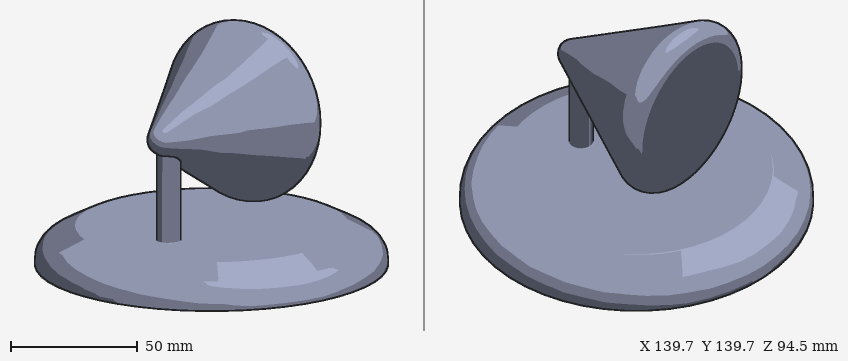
import cadquery as cq
import math

base_radius = 69.85
base_height = 15.875
base_rim_height = 1.5875
base_round_radius = 10.16
shoulder_angle = math.radians(27)
base_top_fillet = 1.2

head_axis_z = 57.94
head_radius = 36.57
head_back_y = 27.3
head_back_round = 6.35
head_tip_round = 5.9
head_half_angle = math.radians(30)

post_radius = 9.525 / 2
post_y = -28.0
post_foot_fillet = 0.25


def make_base():
    """Revolve the base's half profile about Z."""
    round_centre_r = base_radius - base_round_radius

    def round_point(angle):
        return (
            round_centre_r + base_round_radius * math.cos(angle),
            base_rim_height + base_round_radius * math.sin(angle),
        )

    round_end_angle = math.pi / 2 - shoulder_angle
    round_end = round_point(round_end_angle)
    top_radius = round_end[0] - (base_height - round_end[1]) / math.tan(shoulder_angle)
    return (
        cq.Workplane("XZ")
        .lineTo(base_radius, 0)
        .lineTo(base_radius, base_rim_height)
        .threePointArc(round_point(round_end_angle / 2), round_end)
        .lineTo(top_radius, base_height)
        .lineTo(0, base_height)
        .close()
        .revolve(360, (0, 0, 0), (0, 1, 0))
        .faces(">Z")
        .edges()
        .fillet(base_top_fillet)
    )


def make_head():
    """Revolve the head's half profile, drawn as (radius, y), about its own axis."""
    sin_half = math.sin(head_half_angle)
    cos_half = math.cos(head_half_angle)
    back_centre_r = head_radius - head_back_round
    back_centre_y = head_back_y - head_back_round
    cone_back_r = back_centre_r + head_back_round * cos_half
    cone_back_y = back_centre_y - head_back_round * sin_half

    cone_tip_r = head_tip_round * cos_half
    cone_tip_y = cone_back_y - (cone_back_r - cone_tip_r) / math.tan(head_half_angle)
    tip_centre_y = cone_tip_y + head_tip_round * sin_half

    tip_mid_angle = (math.pi / 2 - head_half_angle) / 2
    tip_mid = (
        head_tip_round * math.sin(tip_mid_angle),
        tip_centre_y - head_tip_round * math.cos(tip_mid_angle),
    )

    back_mid_angle = (math.pi / 2 - head_half_angle) / 2
    back_mid = (
        back_centre_r + head_back_round * math.cos(back_mid_angle),
        back_centre_y + head_back_round * math.sin(back_mid_angle),
    )
    return (
        cq.Workplane("XY")
        .moveTo(0, tip_centre_y - head_tip_round)
        .threePointArc(tip_mid, (cone_tip_r, cone_tip_y))
        .lineTo(cone_back_r, cone_back_y)
        .threePointArc(back_mid, (back_centre_r, head_back_y))
        .lineTo(0, head_back_y)
        .close()
        .revolve(360, (0, 0, 0), (0, 1, 0))
        .translate((0, 0, head_axis_z))
    )


def make_base_with_post():
    """Stand the post on the base, reaching up to the head's axis, and fillet its foot."""
    post_height = head_axis_z - base_height
    post = (
        cq.Workplane("XY", origin=(0, post_y, base_height))
        .circle(post_radius)
        .extrude(post_height)
    )
    foot_point = (0, post_y + post_radius, base_height)
    return (
        make_base()
        .union(post)
        .edges(cq.selectors.NearestToPointSelector(foot_point))
        .fillet(post_foot_fillet)
    )


result = make_base_with_post().union(make_head())